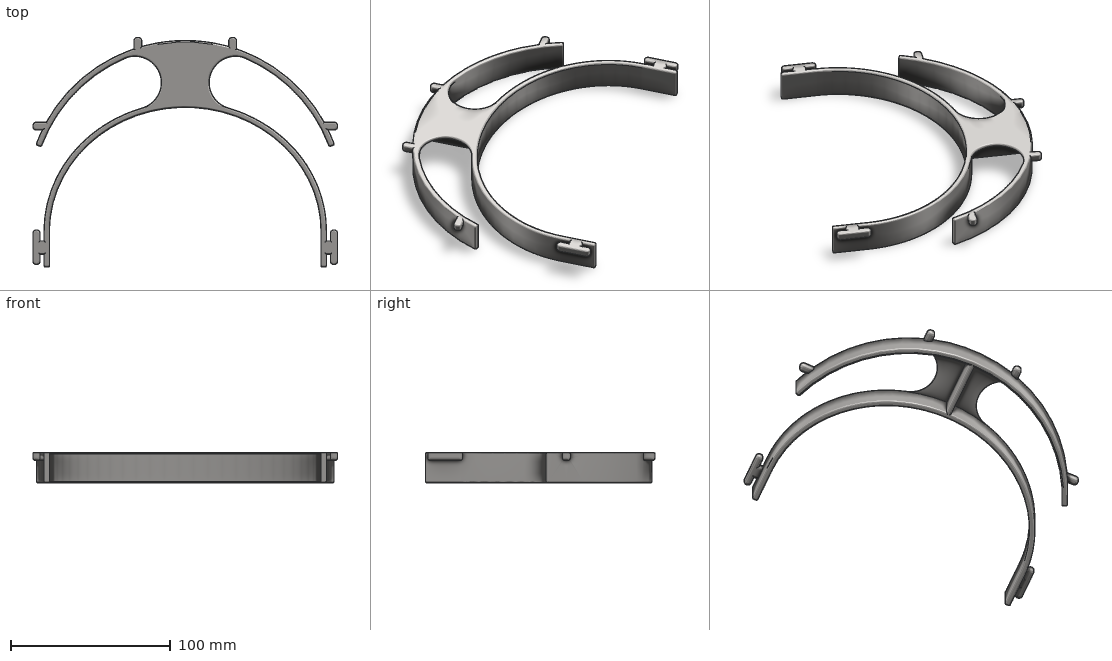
import cadquery as cq
import math

HEIGHT = 19.0
OVERALL_WIDTH = 190.95
OVERALL_DEPTH = 143.89

LEG_LENGTH = 22.5
INNER_HALF_WIDTH = 85.0
INNER_RISE = 77.5
INNER_THICKNESS = 3.5
INNER_OUTER_HALF_WIDTH = INNER_HALF_WIDTH + INNER_THICKNESS
INNER_OUTER_RISE = INNER_RISE + INNER_THICKNESS

OUTER_RADIUS = 99.5
OUTER_THICKNESS = 3.5
OUTER_INSIDE_RADIUS = OUTER_RADIUS - OUTER_THICKNESS
OUTER_MIDDLE_RADIUS = OUTER_RADIUS - OUTER_THICKNESS / 2
OUTER_CENTER_Y = 42.5
OUTER_END_ANGLE = 20.0

WEB_THICKNESS = 1.5
RIB_THICKNESS = 3.0
POCKET_CONTACT_ANGLE = 107.7

PEG_WIDTH = 5.0
PEG_HEIGHT = 5.0
TOP_PEG_X = 29.7
SIDE_PEG_Y = 88.3
LUG_BAR_WIDTH = 4.6
LUG_BAR_START_Y = 1.5
LUG_BAR_LENGTH = 21.8
LUG_BRIDGE_START_Y = 8.0
LUG_BRIDGE_LENGTH = 8.4

BAND_FILLET = 1.0
END_FILLET = 1.0
BAR_CORNER_FILLET = 2.25
BAR_TOP_FILLET = 1.0
BAR_BOTTOM_FILLET = 1.75

TIP_MARGIN = 1.0


def outer_point(radius, degrees):
    """Point on a circle concentric with the outer band."""
    angle = math.radians(degrees)
    return (radius * math.cos(angle), OUTER_CENTER_Y + radius * math.sin(angle))


def ellipse_point(degrees):
    """Point on the outside of the inner band at an ellipse parameter."""
    angle = math.radians(degrees)
    return (
        INNER_OUTER_HALF_WIDTH * math.cos(angle),
        LEG_LENGTH + INNER_OUTER_RISE * math.sin(angle),
    )


def mirrored(point):
    return (-point[0], point[1])


def left_pocket_points():
    """Outer contact, innermost point and inner contact of the pocket arc tangent to both bands."""
    angle = math.radians(POCKET_CONTACT_ANGLE)
    contact = ellipse_point(POCKET_CONTACT_ANGLE)
    slope_x = math.cos(angle) / INNER_OUTER_HALF_WIDTH
    slope_y = math.sin(angle) / INNER_OUTER_RISE
    slope = math.hypot(slope_x, slope_y)
    normal = (slope_x / slope, slope_y / slope)

    offset = (contact[0], contact[1] - OUTER_CENTER_Y)
    along_normal = offset[0] * normal[0] + offset[1] * normal[1]
    free_square = OUTER_INSIDE_RADIUS**2 - offset[0] ** 2 - offset[1] ** 2
    radius = free_square / (2 * (along_normal + OUTER_INSIDE_RADIUS))
    center = (contact[0] + radius * normal[0], contact[1] + radius * normal[1])

    center_angle = math.degrees(math.atan2(center[1] - OUTER_CENTER_Y, center[0]))
    outer_contact = outer_point(OUTER_INSIDE_RADIUS, center_angle)
    innermost = (center[0] + radius, center[1])
    return outer_contact, innermost, contact


OUTER_CONTACT, POCKET_INNERMOST, INNER_CONTACT = left_pocket_points()


def inner_band():
    """Half-ellipse band with straight legs, full height."""
    return (
        cq.Workplane("XY")
        .moveTo(-INNER_HALF_WIDTH, 0)
        .lineTo(-INNER_OUTER_HALF_WIDTH, 0)
        .lineTo(-INNER_OUTER_HALF_WIDTH, LEG_LENGTH)
        .ellipseArc(INNER_OUTER_HALF_WIDTH, INNER_OUTER_RISE, 0, 180, sense=-1)
        .lineTo(INNER_OUTER_HALF_WIDTH, 0)
        .lineTo(INNER_HALF_WIDTH, 0)
        .lineTo(INNER_HALF_WIDTH, LEG_LENGTH)
        .ellipseArc(INNER_HALF_WIDTH, INNER_RISE, 0, 180)
        .close()
        .extrude(HEIGHT)
    )


def outer_band():
    """Circular band with radial end faces, full height."""
    tip_inside = outer_point(OUTER_INSIDE_RADIUS, OUTER_END_ANGLE)
    tip_outside = outer_point(OUTER_RADIUS, OUTER_END_ANGLE)
    return (
        cq.Workplane("XY")
        .moveTo(*tip_inside)
        .lineTo(*tip_outside)
        .threePointArc(outer_point(OUTER_RADIUS, 90), mirrored(tip_outside))
        .lineTo(*mirrored(tip_inside))
        .threePointArc(outer_point(OUTER_INSIDE_RADIUS, 90), tip_inside)
        .close()
        .extrude(HEIGHT)
    )


def web():
    """Thin plate flush with the top, filling the gap between the bands and between the two pockets."""
    return (
        cq.Workplane("XY")
        .workplane(offset=HEIGHT - WEB_THICKNESS)
        .moveTo(*OUTER_CONTACT)
        .threePointArc(outer_point(OUTER_INSIDE_RADIUS, 90), mirrored(OUTER_CONTACT))
        .threePointArc(mirrored(POCKET_INNERMOST), mirrored(INNER_CONTACT))
        .ellipseArc(
            INNER_OUTER_HALF_WIDTH, INNER_OUTER_RISE, 180 - POCKET_CONTACT_ANGLE, POCKET_CONTACT_ANGLE
        )
        .threePointArc(POCKET_INNERMOST, OUTER_CONTACT)
        .close()
        .extrude(WEB_THICKNESS)
    )


def rib():
    """Wall under the middle of the web that ties the two bands together."""
    start_y = LEG_LENGTH + INNER_RISE + INNER_THICKNESS / 2
    end_y = OUTER_CENTER_Y + OUTER_MIDDLE_RADIUS
    rib_height = HEIGHT - WEB_THICKNESS / 2
    return (
        cq.Workplane("XY")
        .box(RIB_THICKNESS, end_y - start_y, rib_height, centered=(True, False, False))
        .translate((0, start_y, 0))
    )


def between_y(y_min, y_max):
    """Selector for everything centered between two Y positions."""
    return cq.selectors.BoxSelector((-OVERALL_WIDTH, y_min, 0), (OVERALL_WIDTH, y_max, HEIGHT))


def bands():
    """Bands and web with rounded strip ends and rounded top and bottom edges."""
    body = inner_band().union(outer_band()).union(web()).union(rib())
    tip_height = outer_point(OUTER_RADIUS, OUTER_END_ANGLE)[1] + TIP_MARGIN
    leg_ends = between_y(-TIP_MARGIN, TIP_MARGIN)
    outer_band_ends = between_y(tip_height - 2 * OUTER_THICKNESS, tip_height)
    body = body.edges("|Z").edges(leg_ends + outer_band_ends).fillet(END_FILLET)
    body = body.faces(">Z").edges().fillet(BAND_FILLET)
    return body.faces("<Z").edges().fillet(BAND_FILLET)


def rounded_bar(x_min, y_min, x_length, y_length, rounded_sides):
    """Bar flush with the top; the selector picks the edges to round, so that a root can stay square."""
    return (
        cq.Workplane("XY")
        .box(x_length, y_length, PEG_HEIGHT, centered=False)
        .edges("|Z")
        .edges(rounded_sides)
        .fillet(BAR_CORNER_FILLET)
        .faces(">Z")
        .edges(rounded_sides)
        .fillet(BAR_TOP_FILLET)
        .faces("<Z")
        .edges(rounded_sides)
        .fillet(BAR_BOTTOM_FILLET)
        .translate((x_min, y_min, HEIGHT - PEG_HEIGHT))
    )


def top_peg():
    """Left peg pointing along +Y, rooted in the middle of the outer band."""
    root_y = OUTER_CENTER_Y + math.sqrt(OUTER_MIDDLE_RADIUS**2 - TOP_PEG_X**2)
    start_x = -TOP_PEG_X - PEG_WIDTH / 2
    return rounded_bar(start_x, root_y, PEG_WIDTH, OVERALL_DEPTH - root_y, "not <Y")


def side_peg():
    """Left peg pointing along -X, rooted in the middle of the outer band."""
    root_x = -math.sqrt(OUTER_MIDDLE_RADIUS**2 - (SIDE_PEG_Y - OUTER_CENTER_Y) ** 2)
    start_x = -OVERALL_WIDTH / 2
    start_y = SIDE_PEG_Y - PEG_WIDTH / 2
    return rounded_bar(start_x, start_y, root_x - start_x, PEG_WIDTH, "not >X")


def lug():
    """Left H-shaped lug: a bar parallel to the leg and the bridge that carries it."""
    start_x = -OVERALL_WIDTH / 2
    bar = rounded_bar(start_x, LUG_BAR_START_Y, LUG_BAR_WIDTH, LUG_BAR_LENGTH, None)
    bridge_start_x = start_x + LUG_BAR_WIDTH / 2
    bridge_end_x = -(INNER_HALF_WIDTH + INNER_THICKNESS / 2)
    bridge = (
        cq.Workplane("XY")
        .box(bridge_end_x - bridge_start_x, LUG_BRIDGE_LENGTH, PEG_HEIGHT, centered=False)
        .edges("|X and >Z")
        .fillet(BAR_TOP_FILLET)
        .edges("|X and <Z")
        .fillet(BAR_BOTTOM_FILLET)
        .translate((bridge_start_x, LUG_BRIDGE_START_Y, HEIGHT - PEG_HEIGHT))
    )
    return bar.union(bridge)


result = bands()
for feature in (top_peg(), side_peg(), lug()):
    result = result.union(feature).union(feature.mirror("YZ"))